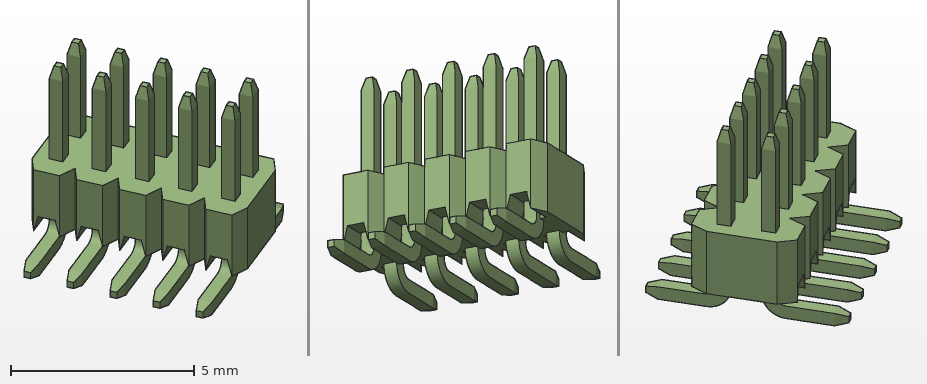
import cadquery as cq


columns = 5
length = 6.35
foot_span = 5.75
total_height = 5.7
pitch = length / columns

body_width = 3.0
body_height = 2.0
groove_depth = 0.5
face_width = 0.77
notch_height = 0.5
notch_top_width = 0.5

pin_width = 0.4
bend_inner_radius = 0.3
tip_length = 0.375
tip_width = pin_width / 2

half_pin = pin_width / 2
half_width = body_width / 2
half_face = face_width / 2
row_y = pitch / 2
bend_outer_radius = bend_inner_radius + pin_width
foot_bottom = -bend_outer_radius
foot_centre_z = foot_bottom + half_pin
pin_top = total_height - bend_outer_radius
foot_tip_y = foot_span / 2
notch_depth = half_width - row_y
column_xs = [(i - (columns - 1) / 2) * pitch for i in range(columns)]


def make_block():
    """Insulator block with a faceted lobe around each column."""
    front = [(-length / 2, groove_depth - half_width)]
    for x in column_xs:
        front.append((x - half_face, -half_width))
        front.append((x + half_face, -half_width))
        front.append((x + pitch / 2, groove_depth - half_width))
    back = [(x, -y) for x, y in reversed(front)]
    return cq.Workplane("XY").polyline(front + back).close().extrude(body_height)


def make_notch():
    """Cutter for the relief in the -Y face at X = 0."""
    return (
        cq.Workplane("XZ", origin=(0, -row_y, 0))
        .moveTo(-half_face, 0)
        .lineTo(-notch_top_width / 2, notch_height)
        .lineTo(notch_top_width / 2, notch_height)
        .lineTo(half_face, 0)
        .close()
        .extrude(notch_depth)
    )


def make_tip(base_plane):
    """Tapered square tip growing along the normal of the given plane."""
    return (
        cq.Workplane(base_plane)
        .rect(pin_width, pin_width)
        .workplane(offset=tip_length)
        .rect(tip_width, tip_width)
        .loft()
    )


def make_pin():
    """Bent pin of the -Y row at X = 0, with its foot pointing to -Y."""
    post_outer_y = -row_y - half_pin
    post_inner_y = -row_y + half_pin
    bend_centre_y = post_outer_y - bend_inner_radius
    shank_top = pin_top - tip_length
    foot_end_y = -foot_tip_y + tip_length
    diagonal = 0.5 ** 0.5
    inner_mid = bend_inner_radius * diagonal
    outer_mid = bend_outer_radius * diagonal
    wire = (
        cq.Workplane("YZ", origin=(-half_pin, 0, 0))
        .moveTo(post_outer_y, shank_top)
        .lineTo(post_outer_y, 0)
        .threePointArc((bend_centre_y + inner_mid, -inner_mid), (bend_centre_y, -bend_inner_radius))
        .lineTo(foot_end_y, -bend_inner_radius)
        .lineTo(foot_end_y, foot_bottom)
        .lineTo(bend_centre_y, foot_bottom)
        .threePointArc((bend_centre_y + outer_mid, -outer_mid), (post_inner_y, 0))
        .lineTo(post_inner_y, shank_top)
        .close()
        .extrude(pin_width)
    )
    post_tip = make_tip(cq.Plane((0, -row_y, shank_top), (1, 0, 0), (0, 0, 1)))
    foot_tip = make_tip(cq.Plane((0, foot_end_y, foot_centre_z), (1, 0, 0), (0, -1, 0)))
    return wire.union(post_tip).union(foot_tip)


row_notch = make_notch()
row_pin = make_pin()
notches = [row_notch, row_notch.mirror("XZ")]
pins = [row_pin, row_pin.mirror("XZ")]

result = make_block()
for x in column_xs:
    for notch in notches:
        result = result.cut(notch.translate((x, 0, 0)))
for x in column_xs:
    for pin in pins:
        result = result.union(pin.translate((x, 0, 0)))